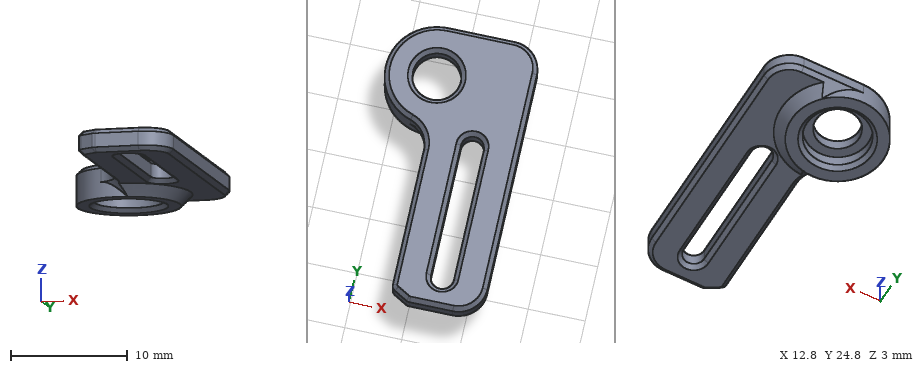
import cadquery as cq
import math

length = 24.8
width = 12.82
boss_height = 3.0
plate_thickness = 2.0
boss_radius = 4.5
edge_chamfer = 0.4

neck_width = 8.0
corner_radius = 2.5
neck_fillet = 2.5
cut_corner_x = 1.55
cut_corner_angle = 30
cut_corner_y = cut_corner_x * math.tan(math.radians(cut_corner_angle))
cut_corner_fillet = 0.6

bore_diameter = 4.2
counterbore_diameter = 6.0
counterbore_depth = 1.5
slot_width = 2.0
slot_upper_y = -5.6
slot_lower_y = -17.55
slot_to_right_edge = 4.0

right = width - boss_radius
left = right - neck_width
top = boss_radius
bottom = top - length
plate_bottom = boss_height - plate_thickness
bevel_height = plate_bottom + edge_chamfer


def outline(base_z, around_boss=True):
    """Plate outline with a square lower left corner.

    Without the arc around the boss, a chord closes the outline inside the boss.
    """
    fillet_x = left - neck_fillet
    centre_distance = boss_radius + neck_fillet
    fillet_y = -math.sqrt(centre_distance**2 - fillet_x**2)
    tangent = (fillet_x * boss_radius / centre_distance, fillet_y * boss_radius / centre_distance)
    fillet_angle = math.atan2(-fillet_y, -fillet_x) / 2
    fillet_middle = (
        fillet_x + neck_fillet * math.cos(fillet_angle),
        fillet_y + neck_fillet * math.sin(fillet_angle),
    )
    start = cq.Workplane("XY", origin=(0, 0, base_z)).moveTo(0, top)
    if around_boss:
        boss_side = start.threePointArc((-boss_radius, 0), tangent)
    else:
        boss_side = start.lineTo(*tangent)
    return (
        boss_side
        .threePointArc(fillet_middle, (left, fillet_y))
        .lineTo(left, bottom)
        .lineTo(right - corner_radius, bottom)
        .radiusArc((right, bottom + corner_radius), -corner_radius)
        .lineTo(right, top - corner_radius)
        .radiusArc((right - corner_radius, top), -corner_radius)
        .close()
    )


def finish_corner(body):
    """Cut the lower left corner at 30 degrees and round its two edges."""
    corner = (
        cq.Workplane("XY")
        .moveTo(left, bottom)
        .lineTo(left + cut_corner_x, bottom)
        .lineTo(left, bottom + cut_corner_y)
        .close()
        .extrude(boss_height)
    )
    margin = 0.25
    cut_ends = cq.selectors.BoxSelector(
        (left - margin, bottom - margin, 0),
        (left + cut_corner_x + margin, bottom + cut_corner_y + margin, boss_height),
    )
    return body.cut(corner).edges("|Z").edges(cut_ends).fillet(cut_corner_fillet)


def make_upper_plate():
    """Plate above its lower bevel, including the top of the boss."""
    body = finish_corner(outline(bevel_height).extrude(boss_height - bevel_height))
    return body.faces(">Z").chamfer(edge_chamfer)


def make_lower_plate():
    """Plate with its lower bevel, ending inside the boss."""
    body = outline(plate_bottom, around_boss=False).extrude(2 * edge_chamfer)
    return finish_corner(body).faces("<Z").chamfer(edge_chamfer)


def make_boss():
    """Cylinder reaching from the underside up to the top of the plate's lower bevel."""
    return cq.Workplane("XY").circle(boss_radius).extrude(bevel_height)


def make_flare():
    """45 degree cone between boss and plate, trimmed by the plate's lower bevel carried downward."""
    cone = (
        cq.Workplane("XY")
        .circle(boss_radius)
        .workplane(offset=plate_bottom)
        .circle(boss_radius + plate_bottom)
        .loft()
    )
    trim = outline(0, around_boss=False).extrude(boss_height).faces("<Z").chamfer(bevel_height)
    return cone.intersect(trim)


def make_bore():
    """Stepped bore; both rims are bevelled."""
    bore_radius = bore_diameter / 2
    counterbore_radius = counterbore_diameter / 2
    return (
        cq.Workplane("XZ")
        .moveTo(0, 0)
        .lineTo(counterbore_radius + edge_chamfer, 0)
        .lineTo(counterbore_radius, edge_chamfer)
        .lineTo(counterbore_radius, counterbore_depth)
        .lineTo(bore_radius, counterbore_depth)
        .lineTo(bore_radius, boss_height - edge_chamfer)
        .lineTo(bore_radius + edge_chamfer, boss_height)
        .lineTo(0, boss_height)
        .close()
        .revolve(360, (0, 0), (0, 1))
    )


def cut_slot(body):
    """Rounded slot through the plate with both rims bevelled."""
    slot_x = right - slot_to_right_edge
    slot_centre = (slot_x, (slot_upper_y + slot_lower_y) / 2)
    slot_length = slot_upper_y - slot_lower_y + slot_width
    slot = (
        cq.Workplane("XY", origin=(*slot_centre, plate_bottom))
        .slot2D(slot_length, slot_width, 90)
        .extrude(plate_thickness)
    )
    rim_length = slot_length + 2 * edge_chamfer
    rim_width = slot_width + 2 * edge_chamfer
    top_bevel = (
        cq.Workplane("XY", origin=(*slot_centre, boss_height))
        .slot2D(rim_length, rim_width, 90)
        .extrude(-edge_chamfer, taper=45)
    )
    bottom_bevel = top_bevel.mirror("XY", (0, 0, boss_height - plate_thickness / 2))
    return body.cut(slot).cut(top_bevel).cut(bottom_bevel)


body = make_upper_plate().union(make_lower_plate()).union(make_flare()).union(make_boss())
result = cut_slot(body).cut(make_bore())